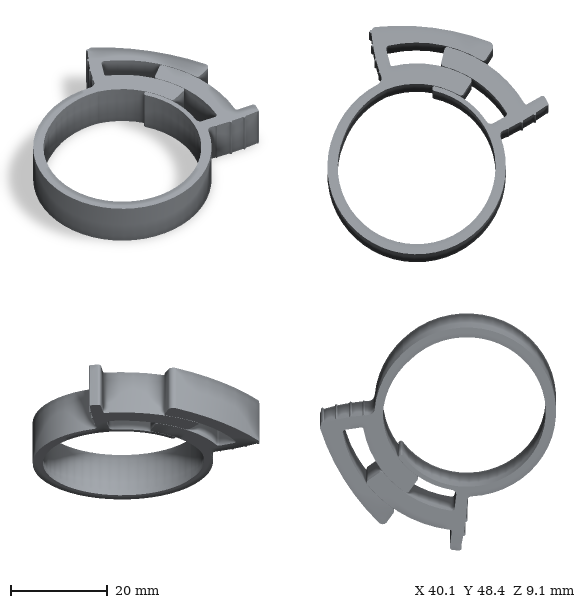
import cadquery as cq
import math

WIDTH = 9.1
RING_INNER = 16.3
RING_OUTER = 18.45

GAP = 0.1
TONGUE_OUTER = 17.28
LOWER_ARM_OUTER = 21.7
MIDDLE_ARM_OUTER = 25.95
TIP_LEAN = 9.8
MIDDLE_TIP_LEAN = 9.5
TONGUE_LEAN = 11.4

LEFT_WALL = 126.9
RIGHT_WALL = 52.5
LEFT_CORNER = (-19.95, 23.3)
LEFT_FLANK_MIDDLE = (-17.3, 18.8)
RIGHT_END_RADIUS = 30.25
RIGHT_CORNER_ANGLE = 48.3
RIGHT_FLANK_MIDDLE = (17.4, 18.55)
LEFT_ROOT_RADIUS = 19.1
LEFT_ROOT_ANGLE = 133.8
RIGHT_ROOT_ANGLE = 45.3

BACK_MIDDLE = (-7.75, 28.3)
BACK_TIP_RADIUS = 30.45

LEFT_INNER_MIDDLE = (16.85, 155)
LEFT_OUTER_MIDDLE = (18.7, 160)

LEFT_ROOT_FILLET = 1.45
RIGHT_ROOT_FILLET = 0.95
LARGE_FILLET = 1.05
TIP_FILLET = 0.65
SMALL_FILLET = 0.4

RIDGE_HEIGHT = 0.3
RIDGE_HALF_BASE = 0.3
LEFT_RIDGES = [(-19.7, 22.5), (-18.2, 20.0), (-16.45, 17.5), (-14.65, 15.45)]
RIGHT_RIDGES = [(19.9, 22.4), (18.3, 19.6), (16.45, 17.1), (14.28, 14.7)]


def polar(radius, angle):
    """Point at a radius and an angle in degrees from +X about the ring axis."""
    turn = math.radians(angle)
    return (radius * math.cos(turn), radius * math.sin(turn))


def arc_about_axis(outline, radius, start, end):
    """Continue the outline along a circle about the ring axis."""
    return outline.threePointArc(polar(radius, (start + end) / 2), polar(radius, end))


right_tip = 90 - TIP_LEAN
left_tip = 90 + MIDDLE_TIP_LEAN
tongue_tip = 90 + TONGUE_LEAN
lower_arm_inner = TONGUE_OUTER + GAP
middle_arm_inner = LOWER_ARM_OUTER + GAP
outer_arm_inner = MIDDLE_ARM_OUTER + GAP

left_root = polar(LEFT_ROOT_RADIUS, LEFT_ROOT_ANGLE)
right_root = polar(RING_OUTER, RIGHT_ROOT_ANGLE)
right_corner = polar(RIGHT_END_RADIUS, RIGHT_CORNER_ANGLE)


def clamp_profile():
    """One closed outline around the ring, both jaws and all the arms."""
    line = cq.Workplane("XY").moveTo(*polar(BACK_TIP_RADIUS, right_tip))
    line = line.threePointArc(BACK_MIDDLE, LEFT_CORNER)
    line = line.threePointArc(LEFT_FLANK_MIDDLE, left_root)
    line = line.threePointArc(polar(*LEFT_OUTER_MIDDLE), (-RING_OUTER, 0))
    line = arc_about_axis(line, RING_OUTER, 180, 360 + RIGHT_ROOT_ANGLE)

    line = line.threePointArc(RIGHT_FLANK_MIDDLE, right_corner)
    line = arc_about_axis(line, RIGHT_END_RADIUS, RIGHT_CORNER_ANGLE, RIGHT_WALL)
    line = line.lineTo(*polar(MIDDLE_ARM_OUTER, RIGHT_WALL))
    line = arc_about_axis(line, MIDDLE_ARM_OUTER, RIGHT_WALL, left_tip)
    line = line.lineTo(*polar(middle_arm_inner, left_tip))
    line = arc_about_axis(line, middle_arm_inner, left_tip, RIGHT_WALL)
    line = line.lineTo(*polar(TONGUE_OUTER, RIGHT_WALL))
    line = arc_about_axis(line, TONGUE_OUTER, RIGHT_WALL, tongue_tip)
    line = line.lineTo(*polar(RING_INNER, tongue_tip))

    line = arc_about_axis(line, RING_INNER, tongue_tip, -180)
    line = line.threePointArc(polar(*LEFT_INNER_MIDDLE), polar(lower_arm_inner, LEFT_ROOT_ANGLE))
    line = arc_about_axis(line, lower_arm_inner, LEFT_ROOT_ANGLE, right_tip)
    line = line.lineTo(*polar(LOWER_ARM_OUTER, right_tip))
    line = arc_about_axis(line, LOWER_ARM_OUTER, right_tip, LEFT_WALL)
    line = line.lineTo(*polar(outer_arm_inner, LEFT_WALL))
    line = arc_about_axis(line, outer_arm_inner, LEFT_WALL, right_tip)
    return line.close()


def round_corners(body, radius, corners):
    """Fillet the upright edges standing on the given corners."""
    for x, y in corners:
        edge = cq.selectors.NearestToPointSelector((x, y, WIDTH / 2))
        body = body.edges("|Z").edges(edge).fillet(radius)
    return body


def ridge(base, outward):
    """Small pointed rib on a flank, facing the angle outward in degrees."""
    turn = math.radians(outward)
    normal = cq.Vector(math.cos(turn), math.sin(turn), 0)
    along = cq.Vector(-normal.y, normal.x, 0)
    middle = cq.Vector(*base)
    foot = middle - normal * RIDGE_HEIGHT
    corners = [
        foot + along * RIDGE_HALF_BASE,
        middle + along * RIDGE_HALF_BASE,
        middle + normal * RIDGE_HEIGHT,
        middle - along * RIDGE_HALF_BASE,
        foot - along * RIDGE_HALF_BASE,
    ]
    return cq.Workplane("XY").polyline([(p.x, p.y) for p in corners]).close().extrude(WIDTH)


def flank_normal(flank_top, flank_bottom, side):
    """Angle of the outward normal of a flank; side is 1 on the right and -1 on the left."""
    rise = flank_top[1] - flank_bottom[1]
    run = flank_top[0] - flank_bottom[0]
    return math.degrees(math.atan2(-side * run, side * rise))


result = clamp_profile().extrude(WIDTH)

result = round_corners(result, LEFT_ROOT_FILLET, [left_root])
result = round_corners(result, RIGHT_ROOT_FILLET, [right_root])

result = round_corners(result, LARGE_FILLET, [
    LEFT_CORNER,
    polar(BACK_TIP_RADIUS, right_tip),
    polar(TONGUE_OUTER, RIGHT_WALL),
])

result = round_corners(result, TIP_FILLET, [
    polar(RIGHT_END_RADIUS, RIGHT_WALL),
    polar(outer_arm_inner, right_tip),
    polar(MIDDLE_ARM_OUTER, left_tip),
    polar(middle_arm_inner, left_tip),
    polar(LOWER_ARM_OUTER, right_tip),
    polar(lower_arm_inner, right_tip),
    polar(middle_arm_inner, RIGHT_WALL),
    polar(outer_arm_inner, LEFT_WALL),
])

result = round_corners(result, SMALL_FILLET, [
    polar(LOWER_ARM_OUTER, LEFT_WALL),
    polar(MIDDLE_ARM_OUTER, RIGHT_WALL),
    polar(TONGUE_OUTER, tongue_tip),
    polar(RING_INNER, tongue_tip),
])

left_outward = flank_normal(LEFT_CORNER, left_root, -1)
right_outward = flank_normal(right_corner, right_root, 1)
for base in LEFT_RIDGES:
    result = result.union(ridge(base, left_outward))
for base in RIGHT_RIDGES:
    result = result.union(ridge(base, right_outward))